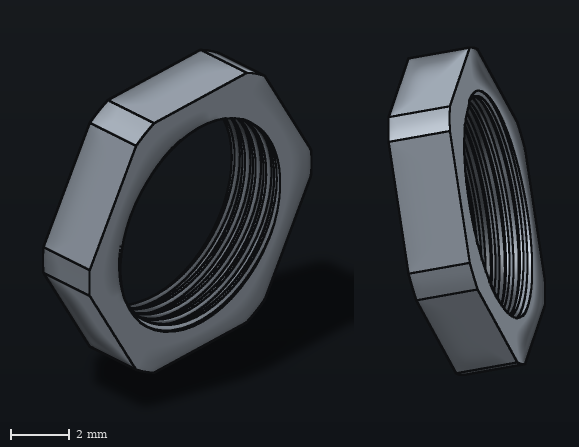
import math

import cadquery as cq

thickness = 2.2
hex_sides = 6
across_flats = 10.0
corner_diameter = 11.0

major_radius = 4.0
pitch = 0.5
flank_angle = 30.0
crest_width = pitch / 4
mouth_width = pitch - crest_width
root_width = pitch * 3 / 8
flank_slope = math.tan(math.radians(flank_angle))
thread_depth = (mouth_width - root_width) / 2 / flank_slope
minor_radius = major_radius - thread_depth

start_angle = 34.0
start_x = -pitch / 4
bore_overlap = 0.05
far_run_out = pitch


def make_blank():
    """Hexagonal prism with its corners turned to a cylinder."""
    across_corners = across_flats / math.cos(math.pi / hex_sides)
    hexagon = cq.Workplane("YZ").polygon(hex_sides, across_corners).extrude(thickness)
    corner_cylinder = cq.Workplane("YZ").circle(corner_diameter / 2).extrude(thickness)
    return hexagon.intersect(corner_cylinder)


def make_bore():
    """Cylinder at the thread crests, through the full thickness."""
    return cq.Workplane("YZ").circle(minor_radius).extrude(thickness)


def make_thread_cutter():
    """Trapezoidal groove swept along a helix, made about Z and turned onto X."""
    helix_height = thickness + far_run_out - start_x
    helix = cq.Wire.makeHelix(pitch, helix_height, minor_radius)
    inner_radius = minor_radius - bore_overlap
    inner_width = mouth_width + 2 * bore_overlap * flank_slope
    profile = [
        (inner_radius, -inner_width / 2),
        (major_radius, -root_width / 2),
        (major_radius, root_width / 2),
        (inner_radius, inner_width / 2),
    ]
    groove = cq.Workplane("XZ").polyline(profile).close().sweep(cq.Workplane(helix), isFrenet=True)
    on_axis = cq.Workplane(groove.val().moved(cq.Plane.YZ().location))
    return on_axis.rotate((0, 0, 0), (1, 0, 0), start_angle).translate((start_x, 0, 0))


result = make_blank().cut(make_thread_cutter()).cut(make_bore())